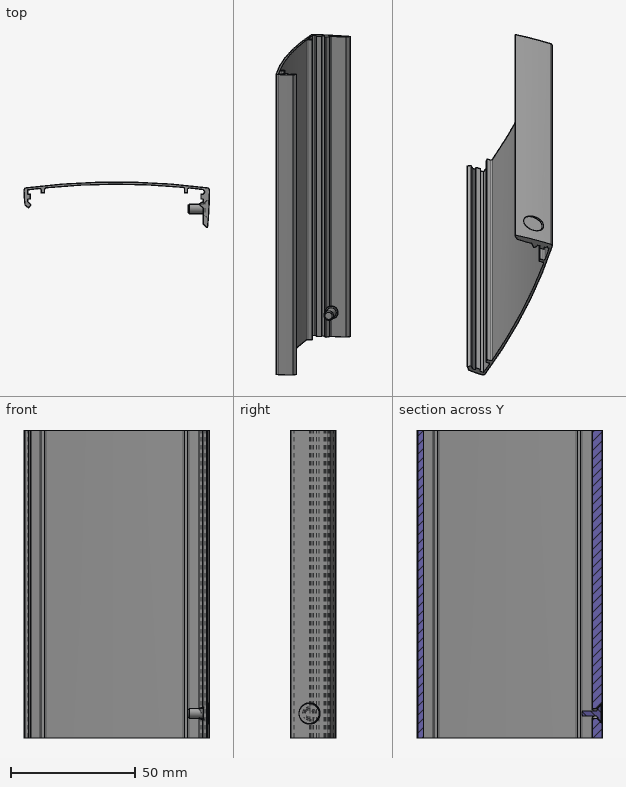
import cadquery as cq
import math

length = 124.0
half_width = 37.39
crown_y = 9.2
plate_thickness = 1.0
corner_y = 6.7
corner_radius = 1.1

left_inner_x = -35.8
right_curve_radius = 136.4
left_curve_radius = 37.2
wall_curve_y = 5.3
right_inner_x = 34.8
right_tip_y = -9.2
tip_bevel = 1.4
ledge_top_y = 4.2
ledge_bottom_y = 2.2
ledge_depth = 1.0
groove_x = 35.5
groove_y = 5.1
catch_tip_x = 33.1
catch_tip_y = 0.1
catch_top_x = 33.9
catch_top_y = 0.7
catch_bevel_x = 34.5
catch_bevel_y = -1.0
catch_root_y = -1.6
hook_bevel = 0.9
foot_inner_x = -34.6
foot_inner_y = -0.1
foot_tip_x = -35.5
foot_tip_y = -1.4
foot_outer_y = -0.2

rib_bottom_y = 4.7
rib_root_radius = 0.6
left_rib_x = -29.8
left_rib_width = 1.5
right_rib_x = 27.9
right_rib_width = 1.2

screw_y = -1.7
screw_z = -length / 2 + 9.9
screw_diameter = 4.0
head_diameter = 8.0
clearance_diameter = 5.2
screw_tip_x = 28.8
screw_tip_chamfer = 0.5

sagitta = crown_y - corner_y
crown_radius = (half_width**2 + sagitta**2) / (2 * sagitta)
under_radius = crown_radius - plate_thickness
crown_center_y = crown_y - crown_radius


def underside_y(x):
    return crown_center_y + math.sqrt(under_radius**2 - x**2)


def wall_outer_x(y, radius):
    """Distance of a bowed outer wall face from mid width at level y."""
    return half_width - radius + math.sqrt(radius**2 - (y - wall_curve_y)**2)


left_corner_x = -wall_outer_x(corner_y, left_curve_radius)
right_corner_x = wall_outer_x(corner_y, right_curve_radius)
foot_outer_x = -wall_outer_x(foot_outer_y, left_curve_radius)
right_tip_x = wall_outer_x(right_tip_y, right_curve_radius)
head_face_x = wall_outer_x(screw_y - head_diameter / 2, right_curve_radius)
head_height = (head_diameter - screw_diameter) / 2


def make_profile():
    ledge_x = right_inner_x - ledge_depth
    left_ledge_x = left_inner_x + ledge_depth
    hook_root_y = catch_top_y + hook_bevel / 2
    foot_shoulder_y = catch_top_y - hook_bevel / 2
    profile = (
        cq.Workplane("XY", origin=(0, 0, -length / 2))
        .moveTo(left_corner_x, corner_y)
        .threePointArc((0, crown_y), (right_corner_x, corner_y))
        .threePointArc((half_width, wall_curve_y), (right_tip_x, right_tip_y))
        .lineTo(right_inner_x + tip_bevel, right_tip_y)
        .lineTo(right_inner_x, right_tip_y + tip_bevel)
        .lineTo(right_inner_x, catch_root_y)
        .lineTo(catch_bevel_x, catch_bevel_y)
        .lineTo(catch_tip_x, catch_tip_y)
        .lineTo(catch_top_x, catch_top_y)
        .lineTo(right_inner_x, hook_root_y)
        .lineTo(right_inner_x, ledge_bottom_y)
        .lineTo(ledge_x, ledge_bottom_y)
        .lineTo(ledge_x, ledge_top_y)
        .lineTo(right_inner_x, ledge_top_y)
        .lineTo(groove_x, groove_y)
        .lineTo(right_inner_x, underside_y(right_inner_x))
        .threePointArc((0, underside_y(0)), (left_inner_x, underside_y(left_inner_x)))
        .lineTo(left_inner_x, ledge_top_y)
        .lineTo(left_ledge_x, ledge_top_y)
        .lineTo(left_ledge_x, ledge_bottom_y)
        .lineTo(left_inner_x, ledge_bottom_y)
        .lineTo(left_inner_x, hook_root_y)
        .lineTo(left_inner_x + hook_bevel, foot_shoulder_y)
        .lineTo(foot_inner_x, foot_inner_y)
        .lineTo(foot_tip_x, foot_tip_y)
        .lineTo(foot_outer_x, foot_outer_y)
        .threePointArc((-half_width, wall_curve_y), (left_corner_x, corner_y))
        .close()
        .extrude(length)
    )
    for corner_x in (left_corner_x, right_corner_x):
        corner = cq.NearestToPointSelector((corner_x, corner_y, 0))
        profile = profile.edges(corner).fillet(corner_radius)
    return profile


def add_rib(body, x, width):
    """Join a full-length rib to the plate and round both of its root corners."""
    height = underside_y(x) + plate_thickness / 2 - rib_bottom_y
    rib = cq.Workplane("XY").box(width, height, length).translate((x, rib_bottom_y + height / 2, 0))
    body = body.union(rib)
    for root_x in (x - width / 2, x + width / 2):
        root = cq.NearestToPointSelector((root_x, underside_y(root_x), 0))
        body = body.edges(root).fillet(rib_root_radius)
    return body


def revolve_about_screw(points):
    """Solid of revolution from (x, radius) points about the screw axis."""
    outline = [(x, screw_y + radius) for x, radius in points]
    return (
        cq.Workplane("XY", origin=(0, 0, screw_z))
        .polyline(outline)
        .close()
        .revolve(360, (0, screw_y), (1, screw_y))
    )


def make_hole_cutter():
    hole_r = clearance_diameter / 2
    seat_x = head_face_x - (head_diameter / 2 - hole_r)
    mouth_r = hole_r + half_width - seat_x
    return revolve_about_screw([
        (screw_tip_x, 0), (screw_tip_x, hole_r), (seat_x, hole_r),
        (half_width, mouth_r), (half_width, 0),
    ])


def make_screw():
    shank_r = screw_diameter / 2
    return revolve_about_screw([
        (screw_tip_x, 0), (screw_tip_x, shank_r - screw_tip_chamfer),
        (screw_tip_x + screw_tip_chamfer, shank_r), (head_face_x - head_height, shank_r),
        (head_face_x, head_diameter / 2), (head_face_x, 0),
    ])


cover = make_profile()
cover = add_rib(cover, left_rib_x, left_rib_width)
cover = add_rib(cover, right_rib_x, right_rib_width)
cover = cover.cut(make_hole_cutter())
screw = make_screw()
result = cq.Compound.makeCompound([cover.val(), screw.val()])